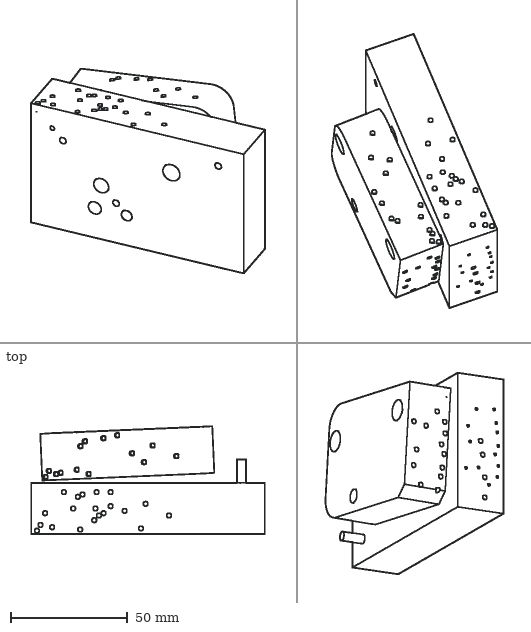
import cadquery as cq

plate_length = 100.0
plate_thickness = 22.0
plate_height = 60.0

pin_diameter = 4.0
pin_length = 10.0
pin_inset = 10.0

plate_through_holes = [
    (10, 50, 2),
    (15, 45, 3),
    (33, 27, 7),
    (40, 20, 3),
    (30, 15, 6),
    (45, 15, 5),
    (66, 42, 8),
    (88, 51, 3),
]

plate_top_holes = [
    (2.5, 1.5),
    (4, 4),
    (6, 9),
    (9, 3),
    (14, 18),
    (18, 11),
    (20, 16),
    (21, 2),
    (22, 17),
    (27, 6),
    (27.5, 11),
    (28, 18),
    (29, 8),
    (31, 9),
    (34, 12),
    (34, 18),
    (40, 10),
    (47, 2.5),
    (49, 13),
    (59, 8),
]

plate_left_small_holes = [
    (2.5, 21),
    (2.5, 30),
    (3, 16),
    (3, 36),
    (3.5, 40),
    (4, 26),
    (4.5, 46),
    (7, 12),
    (12, 19),
    (13, 45),
    (16, 30),
    (17, 37),
    (18, 18),
]
plate_left_large_holes = [
    (9, 6),
    (9, 15),
    (10, 25),
    (11, 31),
]

block_length = 70.0
block_thickness = 20.0
block_height = 50.0
block_corner_radius = 10.0
block_chamfer = 5.0

block_origin = (9.8, 23.33, 4.45)
block_rise = 5.83
block_roll = 0.2
block_swing = 2.46

block_through_holes = [
    (64, 34, 9),
]
block_back_holes = [
    (10, 39, 9),
    (45, 7, 6),
]

block_top_holes = [
    (1.5, 1.5),
    (3, 4),
    (6, 2.5),
    (8, 3),
    (15, 4),
    (17, 14),
    (19, 16),
    (20, 2),
    (27, 17),
    (33, 18),
    (39, 10),
    (44, 6),
    (48, 13),
    (58, 8),
]

block_left_holes = [
    (1.5, 21),
    (1.5, 30),
    (2, 15),
    (2, 35),
    (2.5, 11),
    (3, 25),
    (3.5, 5),
    (6, 39),
    (11, 32),
    (12, 6),
    (15, 21),
    (16, 14),
    (17, 33),
]

blind_diameter = 2.0
small_blind_diameter = 1.0
top_hole_depth = 4.0
left_hole_depth = 10.0
back_hole_depth = 5.0


def drill(body, entry, direction, diameter, depth):
    """Cut one round flat-bottomed hole that starts at the entry point."""
    hole = cq.Solid.makeCylinder(diameter / 2, depth, cq.Vector(*entry), cq.Vector(*direction))
    return body.cut(cq.Workplane(hole))


def drill_top(body, places, height):
    for x, y in places:
        body = drill(body, (x, y, height), (0, 0, -1), blind_diameter, top_hole_depth)
    return body


def drill_left(body, places, diameter):
    for y, z in places:
        body = drill(body, (0, y, z), (1, 0, 0), diameter, left_hole_depth)
    return body


def drill_through(body, holes, thickness):
    for x, z, diameter in holes:
        body = drill(body, (x, 0, z), (0, 1, 0), diameter, thickness)
    return body


def make_plate():
    body = cq.Workplane("XY").box(plate_length, plate_thickness, plate_height, centered=False)
    body = drill_through(body, plate_through_holes, plate_thickness)
    body = drill_top(body, plate_top_holes, plate_height)
    body = drill_left(body, plate_left_small_holes, small_blind_diameter)
    body = drill_left(body, plate_left_large_holes, blind_diameter)
    pin = cq.Solid.makeCylinder(
        pin_diameter / 2,
        pin_length,
        cq.Vector(plate_length - pin_inset, plate_thickness, pin_inset),
        cq.Vector(0, 1, 0),
    )
    return body.union(cq.Workplane(pin))


def make_block():
    body = cq.Workplane("XY").box(block_length, block_thickness, block_height, centered=False)
    body = body.edges("|Y and >X").fillet(block_corner_radius)
    body = body.edges("|Y and <X and <Z").chamfer(block_chamfer)
    body = drill_through(body, block_through_holes, block_thickness)
    for x, z, diameter in block_back_holes:
        body = drill(body, (x, block_thickness, z), (0, -1, 0), diameter, back_hole_depth)
    body = drill_top(body, block_top_holes, block_height)
    body = drill_left(body, block_left_holes, blind_diameter)
    body = body.rotate((0, 0, 0), (1, 0, 0), block_roll)
    body = body.rotate((0, 0, 0), (0, 1, 0), -block_rise)
    body = body.rotate((0, 0, 0), (0, 0, 1), block_swing)
    return body.translate(block_origin)


plate = make_plate()
block = make_block()

result = cq.Compound.makeCompound([plate.val(), block.val()])